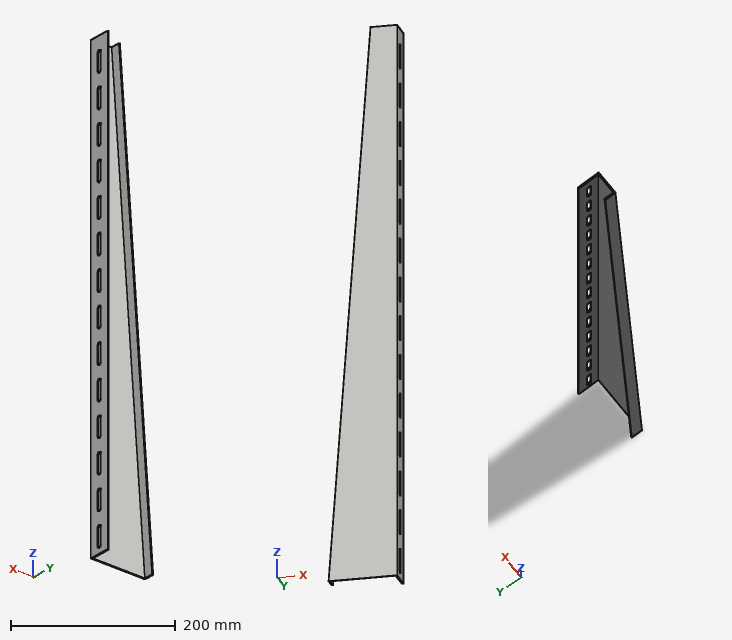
import cadquery as cq
import math

length = 710.0
bottom_width = 86.0
top_width = 33.5
thickness = 2.0

straight_flange_height = 32.0
sloped_flange_height = 15.5

slot_count = 14
first_slot_z = 24.0
last_slot_z = 675.0
slot_length = 31.0
slot_width = 6.5
slot_center_y = straight_flange_height / 2
slot_pitch = (last_slot_z - first_slot_z) / (slot_count - 1)

taper = bottom_width - top_width
slope = taper / length
sloped_wall = thickness * math.hypot(1, slope)
end_drop = sloped_wall * slope


def outer_block():
    """Solid tapered block whose sloped flange ends are cut square to the slope."""
    outline = [
        (0, end_drop),
        (sloped_wall, 0),
        (sloped_wall, end_drop),
        (bottom_width, end_drop),
        (bottom_width, length),
        (taper + sloped_wall, length),
        (taper + sloped_wall, length - end_drop),
        (taper, length),
    ]
    return cq.Workplane("XZ").polyline(outline).close().extrude(-straight_flange_height)


def inside_block():
    """Open space between the flanges, behind the web."""
    outline = [
        (sloped_wall, 0),
        (bottom_width - thickness, 0),
        (bottom_width - thickness, length),
        (taper + sloped_wall, length),
    ]
    block = cq.Workplane("XZ").polyline(outline).close().extrude(-straight_flange_height)
    return block.translate((0, thickness, 0))


def channel():
    """Tapered web with a flange along each long side."""
    body = outer_block().cut(inside_block())

    trim = cq.Workplane("XY").box(
        bottom_width - thickness,
        straight_flange_height - sloped_flange_height,
        length,
        centered=False,
    )
    return body.cut(trim.translate((0, sloped_flange_height, 0)))


def slots():
    """Round-ended cutters through the straight flange."""
    centers = [(slot_center_y, first_slot_z + i * slot_pitch) for i in range(slot_count)]
    return (
        cq.Workplane("YZ", origin=(bottom_width - 2 * thickness, 0, 0))
        .pushPoints(centers)
        .slot2D(slot_length, slot_width, 90)
        .extrude(3 * thickness)
    )


result = channel().cut(slots())